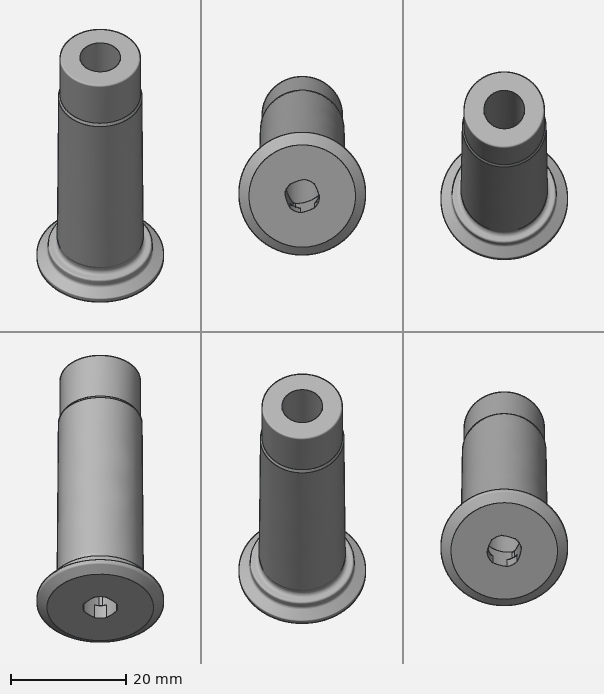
import cadquery as cq
import math

HEIGHT = 50.5

FLANGE_RADIUS = 22.0 / 2
FLANGE_BASE_RADIUS = 9.25
FLANGE_SLOPE = math.radians(30)
RIM_LOW_ROUND = 0.35
RIM_HIGH_ROUND = 0.2

COLLAR_RADIUS = 9.05
COLLAR_FOOT_Z = 3.0
COLLAR_TOP_Z = 4.45
COLLAR_FOOT_ROUND = 0.45
COLLAR_TOP_ROUND = 0.35

NECK_RADIUS = 14.7 / 2
NECK_FOOT_ROUND = 0.75
NECK_TOP_Z = 5.65
NECK_TOP_ROUND = 0.45

BARREL_BASE_RADIUS = 15.0 / 2
BARREL_BASE_Z = 6.15
BARREL_TOP_RADIUS = 7.25
BARREL_TOP_Z = 40.75

SPIGOT_RADIUS = 14.0 / 2
SPIGOT_BASE_Z = 41.3
SPIGOT_ROUND = 0.3

BORE_RADIUS = 7.0 / 2
BORE_FLOOR_Z = BARREL_BASE_Z
BORE_FLOOR_SLOPE = math.radians(30)

SIDE_MIDDLE = 2.85
SIDE_END = 2.5
CORNER_RADIUS = 6.6 / 2
EXIT_RADIUS = 6.0 / 2
EXIT_CONE_TOP_Z = COLLAR_FOOT_Z


def revolve_profile(points):
    """Solid of revolution about Z from (radius, z) points, closed along the axis."""
    return cq.Workplane("XZ").polyline(points).close().revolve(360, (0, 0, 0), (0, 1, 0))


def round_edge(body, radius, z, size):
    """Round the circular edge lying at the given radius and height."""
    margin = 0.025
    reach = radius + margin
    box = cq.selectors.BoxSelector((-reach, -reach, z - margin), (reach, reach, z + margin), boundingbox=True)
    return body.edges(box).edges(cq.selectors.RadiusNthSelector(-1)).fillet(size)


def outer_body():
    """Revolved outside of the part with its rounded edges."""
    slope = math.tan(FLANGE_SLOPE)
    rim_low_z = (FLANGE_RADIUS - FLANGE_BASE_RADIUS) * slope
    rim_high_z = COLLAR_FOOT_Z - (FLANGE_RADIUS - COLLAR_RADIUS) * slope
    body = revolve_profile([
        (0, 0),
        (FLANGE_BASE_RADIUS, 0),
        (FLANGE_RADIUS, rim_low_z),
        (FLANGE_RADIUS, rim_high_z),
        (COLLAR_RADIUS, COLLAR_FOOT_Z),
        (COLLAR_RADIUS, COLLAR_TOP_Z),
        (NECK_RADIUS, COLLAR_TOP_Z),
        (NECK_RADIUS, NECK_TOP_Z),
        (BARREL_BASE_RADIUS, BARREL_BASE_Z),
        (BARREL_TOP_RADIUS, BARREL_TOP_Z),
        (SPIGOT_RADIUS, SPIGOT_BASE_Z),
        (SPIGOT_RADIUS, HEIGHT),
        (0, HEIGHT),
    ])
    rounds = [
        (FLANGE_RADIUS, rim_low_z, RIM_LOW_ROUND),
        (FLANGE_RADIUS, rim_high_z, RIM_HIGH_ROUND),
        (COLLAR_RADIUS, COLLAR_FOOT_Z, COLLAR_FOOT_ROUND),
        (COLLAR_RADIUS, COLLAR_TOP_Z, COLLAR_TOP_ROUND),
        (NECK_RADIUS, COLLAR_TOP_Z, NECK_FOOT_ROUND),
        (NECK_RADIUS, NECK_TOP_Z, NECK_TOP_ROUND),
        (SPIGOT_RADIUS, HEIGHT, SPIGOT_ROUND),
    ]
    for radius, z, size in rounds:
        body = round_edge(body, radius, z, size)
    return body


def bore():
    """Round bore with a full cone as its floor."""
    tip_z = BORE_FLOOR_Z - BORE_RADIUS * math.tan(BORE_FLOOR_SLOPE)
    return revolve_profile([
        (0, tip_z),
        (BORE_RADIUS, BORE_FLOOR_Z),
        (BORE_RADIUS, HEIGHT),
        (0, HEIGHT),
    ])


def polar(radius, angle):
    """X and Y of a point given by its distance from the axis and its angle."""
    return radius * math.cos(angle), radius * math.sin(angle)


def square_prism():
    """Square with bulged sides and rounded corners, from the base to the bore floor."""
    quarter = math.pi / 2
    half_side = math.acos(SIDE_END / CORNER_RADIUS)
    outline = cq.Workplane("XY").moveTo(*polar(CORNER_RADIUS, -half_side))
    for index in range(4):
        middle = index * quarter
        corner = middle + quarter / 2
        next_side = middle + quarter - half_side
        outline = outline.threePointArc(polar(SIDE_MIDDLE, middle), polar(CORNER_RADIUS, middle + half_side))
        outline = outline.threePointArc(polar(CORNER_RADIUS, corner), polar(CORNER_RADIUS, next_side))
    return outline.close().extrude(BORE_FLOOR_Z)


def passage():
    """Square passage whose corners narrow through a cone to the exit diameter."""
    floor_slope = math.tan(BORE_FLOOR_SLOPE)
    exit_cone_end_z = EXIT_CONE_TOP_Z - (CORNER_RADIUS - EXIT_RADIUS) * floor_slope
    corner_limit = revolve_profile([
        (0, 0),
        (EXIT_RADIUS, 0),
        (EXIT_RADIUS, exit_cone_end_z),
        (CORNER_RADIUS, EXIT_CONE_TOP_Z),
        (CORNER_RADIUS, BORE_FLOOR_Z),
        (0, BORE_FLOOR_Z),
    ])
    return square_prism().intersect(corner_limit)


result = outer_body().cut(bore()).cut(passage())